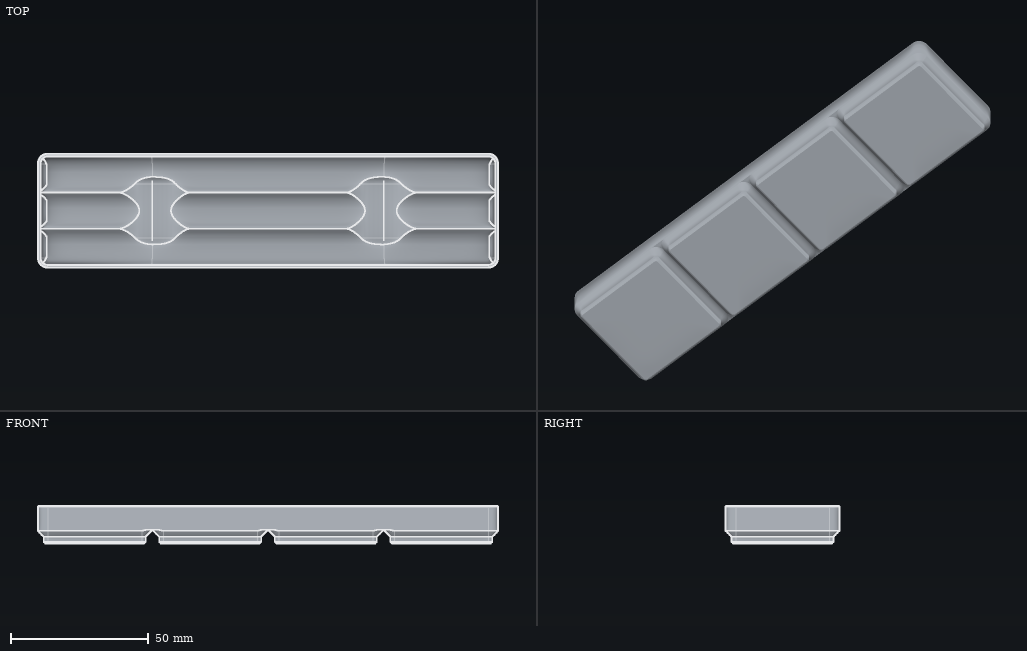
import cadquery as cq


length = 167.5
width = 41.5
height = 13.7
corner_radius = 3.7
rim_fillet = 0.5

foot_count = 4
foot_pitch = 42.0
foot_toe_chamfer = 0.7
foot_straight = 1.8
foot_flare = 2.2
foot_width = width - 2 * foot_flare
foot_radius = corner_radius - foot_flare
foot_flare_start = foot_toe_chamfer + foot_straight
meeting_flare = (foot_pitch - foot_width) / 2
body_bottom = foot_flare_start + meeting_flare

wall = 1.0
inner_length = length - 2 * wall
inner_width = width - 2 * wall
inner_radius = corner_radius - wall
inner_foot_length = inner_length - 2 * foot_flare
inner_foot_width = inner_width - 2 * foot_flare
inner_foot_radius = inner_radius - foot_flare
inner_flare_top = foot_flare_start + foot_flare

groove_count = 3
ridge_width = 0.08
groove_radius = 6.5
groove_pitch = 2 * groove_radius + ridge_width
ridge_height = 13.2
bend_x = 42.5
end_tilt = 8.0

scoop_x = 41.9
scoop_radius = 15.0
scoop_floor = 5.2
scoop_length = 25.1
scoop_end_fillet = 2.7


def rounded_block(size_x, size_y, radius, bottom, top):
    """Upright block with rounded vertical edges, centred on the Z axis."""
    block = cq.Workplane("XY").workplane(offset=bottom).rect(size_x, size_y).extrude(top - bottom)
    return block.edges("|Z").fillet(radius)


def flared_block(size_x, size_y, radius, bottom, rise):
    """Rounded block that starts at the given size and widens upward at 45 degrees."""
    outline = rounded_block(size_x, size_y, radius, bottom, bottom + rise).faces("<Z").wires()
    return outline.toPending().extrude(rise, taper=-45)


def make_foot():
    toe_width = foot_width - 2 * foot_toe_chamfer
    toe_radius = foot_radius - foot_toe_chamfer
    toe = flared_block(toe_width, toe_width, toe_radius, 0, foot_toe_chamfer)
    post = rounded_block(foot_width, foot_width, foot_radius, foot_toe_chamfer, foot_flare_start)
    flare = flared_block(foot_width, foot_width, foot_radius, foot_flare_start, meeting_flare)
    return toe.union(post).union(flare)


def make_body():
    body = rounded_block(length, width, corner_radius, body_bottom, height)
    envelope = rounded_block(length, width, corner_radius, 0, height)
    foot = make_foot()
    for i in range(foot_count):
        x = (i - (foot_count - 1) / 2) * foot_pitch
        body = body.union(foot.translate((x, 0, 0)).intersect(envelope))
    return body.faces(">Z").edges().fillet(rim_fillet)


def make_cavity():
    """Room inside the walls, narrowing with the flare into the row of feet."""
    upper = rounded_block(inner_length, inner_width, inner_radius, inner_flare_top, height)
    flare = flared_block(
        inner_foot_length, inner_foot_width, inner_foot_radius, foot_flare_start, foot_flare
    )
    lower = rounded_block(inner_foot_length, inner_foot_width, inner_foot_radius, 0, foot_flare_start)
    return upper.union(flare).union(lower)


def make_grooves():
    """Side-by-side round grooves, all open above the ridge tops at Z = 0."""
    profile = cq.Workplane("YZ").moveTo(-width, height).lineTo(-width, 0)
    for i in range(groove_count):
        y = (i - (groove_count - 1) / 2) * groove_pitch
        profile = profile.lineTo(y - groove_radius, 0)
        profile = profile.threePointArc((y, -groove_radius), (y + groove_radius, 0))
    profile = profile.lineTo(width, 0).lineTo(width, height).close()
    return profile.extrude(length / 2, both=True)


def make_scoop(x):
    """Cylinder lying across the grooves with rounded end edges."""
    section = cq.Workplane("XZ").center(x, scoop_floor + scoop_radius).circle(scoop_radius)
    cylinder = section.extrude(scoop_length / 2, both=True)
    return cylinder.faces("<Y or >Y").edges().fillet(scoop_end_fillet)


grooves = make_grooves()
cutter = grooves.translate((0, 0, ridge_height))
for side in (-1, 1):
    sloping = grooves.rotate((0, 0, 0), (0, 1, 0), side * end_tilt)
    cutter = cutter.union(sloping.translate((side * bend_x, 0, ridge_height)))
    cutter = cutter.union(make_scoop(side * scoop_x))

result = make_body().cut(make_cavity().intersect(cutter)).solids()